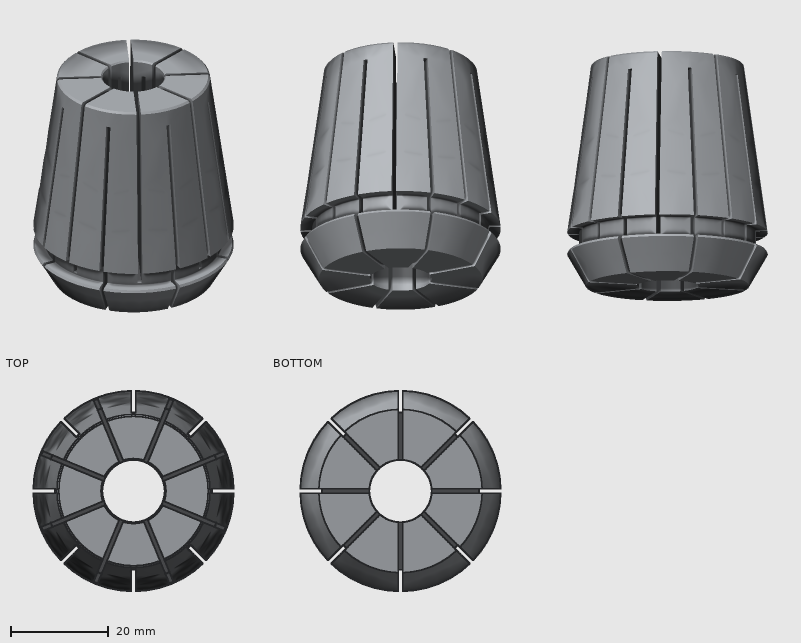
import cadquery as cq
import math

total_height = 46.0
max_radius = 41.0 / 2
bore_diameter = 12.7

flange_edge_height = 6.6
flange_half_angle = 30.0
flange_top_height = 7.1
flange_top_radius = 20.2

groove_radius = 18.1
groove_top_height = 11.1
groove_corner_fillet = 0.2

cone_half_angle = 8.0
cone_top_chamfer = 0.4
bore_top_chamfer = 0.3

slots_per_set = 8
slot_width = 0.9
bottom_slot_end_height = 42.5
top_slot_end_height = 7.6

flange_bottom_radius = max_radius - flange_edge_height * math.tan(math.radians(flange_half_angle))
cone_top_radius = max_radius - (total_height - groove_top_height) * math.tan(math.radians(cone_half_angle))
chamfer_start_height = total_height - cone_top_chamfer
chamfer_start_radius = cone_top_radius + cone_top_chamfer * math.tan(math.radians(cone_half_angle))
fillet_outer_radius = groove_radius + groove_corner_fillet
bore_radius = bore_diameter / 2
slot_pitch_angle = 360.0 / slots_per_set


def make_body():
    """Revolve the half profile, (radius, height) points, around the Z axis."""
    return (
        cq.Workplane("XZ")
        .moveTo(bore_radius, 0)
        .lineTo(flange_bottom_radius, 0)
        .lineTo(max_radius, flange_edge_height)
        .lineTo(flange_top_radius, flange_top_height)
        .lineTo(fillet_outer_radius, flange_top_height)
        .radiusArc((groove_radius, flange_top_height + groove_corner_fillet), groove_corner_fillet)
        .lineTo(groove_radius, groove_top_height - groove_corner_fillet)
        .radiusArc((fillet_outer_radius, groove_top_height), groove_corner_fillet)
        .lineTo(max_radius, groove_top_height)
        .lineTo(chamfer_start_radius, chamfer_start_height)
        .lineTo(chamfer_start_radius - cone_top_chamfer, total_height)
        .lineTo(bore_radius + bore_top_chamfer, total_height)
        .lineTo(bore_radius, total_height - bore_top_chamfer)
        .close()
        .revolve(360, (0, 0, 0), (0, 1, 0))
    )


def cut_slots(body, start_height, end_height, first_angle):
    """Cut evenly spaced radial slots from the bore out through the side."""
    slot = cq.Workplane("XY", origin=(0, 0, start_height)).box(
        2 * max_radius, slot_width, end_height - start_height, centered=(False, True, False)
    )
    for index in range(slots_per_set):
        angle = first_angle + index * slot_pitch_angle
        body = body.cut(slot.rotate((0, 0, 0), (0, 0, 1), angle))
    return body


result = make_body()
result = cut_slots(result, 0, bottom_slot_end_height, 0)
result = cut_slots(result, top_slot_end_height, total_height, slot_pitch_angle / 2)